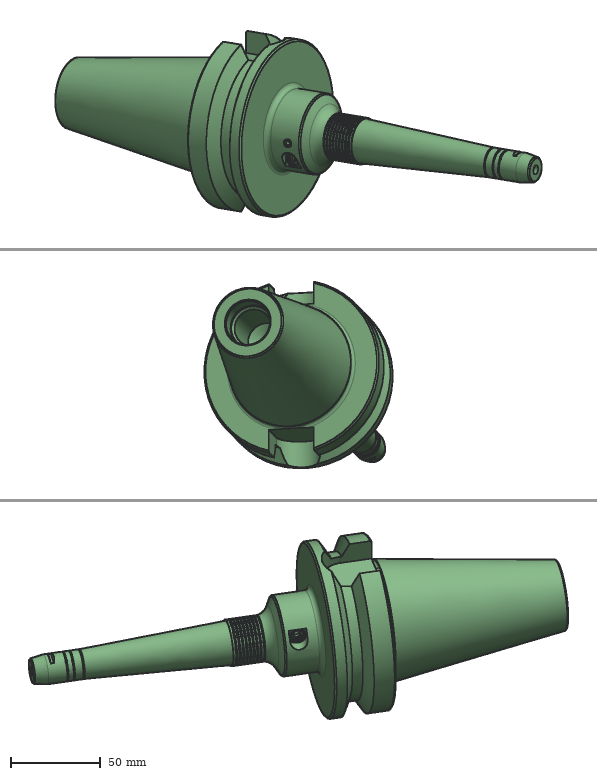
import cadquery as cq
import math

gauge_diameter = 69.85
taper_rate = 7 / 24
shank_length = 101.8
nose_x = 200.0
shank_end_chamfer = 0.8
gauge_radius = gauge_diameter / 2
shank_end_radius = (gauge_diameter - taper_rate * shank_length) / 2

flange_radius = 50.0
flange_back_x = 3.0
flange_front_x = 38.0
flange_chamfer = 1.0
groove_floor_radius = 42.0
groove_floor_back_x = 20.3
groove_floor_front_x = 26.3
groove_slope = math.tan(math.radians(30))
groove_run = (flange_radius - groove_floor_radius) * groove_slope
relief_radius = 34.7
relief_fillet = 1.8

slot_width = 25.7
slot_floor_height = 35.4
slot_end_x = 34.2

hub_radius = 23.0
hub_fillet = 3.0
hub_shoulder_x = 59.4
hub_chamfer_length = 0.9
hub_chamfer_depth = 0.7
flare_start_x = 63.0
flare_start_radius = 17.5
flare_end_x = 69.2

neck_radius = 13.2
neck_end_x = 87.6
stem_start_radius = 12.6
tip_radius = 8.5
tip_start_x = 171.0
tip_end_x = 192.0
nose_radius = 7.3
nose_chamfer = 0.8
ring_groove_radius = 0.35
first_neck_ring_x = 69.78
neck_ring_pitch = 2.0
neck_ring_count = 9
tip_ring_positions = [171.7, 177.2, 180.9]

tip_pocket_back_x = 187.9
tip_pocket_front_x = 189.7
tip_pocket_floor_height = 7.2
tip_pocket_width = 8.2
tip_pocket_slope_run = 0.9

coolant_diameter = 5.0
pilot_diameter = 25.0
pilot_chamfer = 0.7
pilot_depth = 11.0
thread_mouth_diameter = 24.0
thread_diameter = 21.0
thread_depth = 45.0
drill_point_angle = 118.0

screw_x = 51.8
screw_height = 11.8
screw_pocket_width = 10.0
screw_pocket_floor = 16.0
screw_hole_diameter = 9.0
screw_recess_diameter = 6.8
screw_socket_diameter = 4.1
screw_hole_depth = 1.0
screw_recess_depth = 2.0
screw_socket_depth = 4.0
pin_x = 52.0
pin_hole_height = -1.0
pin_mouth_diameter = 4.62
pin_mouth_depth = 0.6
pin_hole_diameter = 2.31
pin_hole_depth = 4.0


def make_body():
    """Revolve the whole outer profile about the X axis."""
    shank_end_x = -shank_length
    chamfer_x = shank_end_x + shank_end_chamfer
    profile = (
        cq.Workplane("XY")
        .moveTo(shank_end_x, 0)
        .lineTo(shank_end_x, shank_end_radius - shank_end_chamfer)
        .lineTo(chamfer_x, shank_end_radius + shank_end_chamfer * taper_rate / 2)
        .lineTo(0, gauge_radius)
        .lineTo(gauge_radius - relief_radius, relief_radius)
        .lineTo(flange_back_x - relief_fillet, relief_radius)
        .radiusArc((flange_back_x, relief_radius + relief_fillet), -relief_fillet)
        .lineTo(flange_back_x, flange_radius - flange_chamfer)
        .lineTo(flange_back_x + flange_chamfer, flange_radius)
        .lineTo(groove_floor_back_x - groove_run, flange_radius)
        .lineTo(groove_floor_back_x, groove_floor_radius)
        .lineTo(groove_floor_front_x, groove_floor_radius)
        .lineTo(groove_floor_front_x + groove_run, flange_radius)
        .lineTo(flange_front_x - flange_chamfer, flange_radius)
        .lineTo(flange_front_x, flange_radius - flange_chamfer)
        .lineTo(flange_front_x, hub_radius + hub_fillet)
        .radiusArc((flange_front_x + hub_fillet, hub_radius), -hub_fillet)
        .lineTo(hub_shoulder_x, hub_radius)
        .lineTo(hub_shoulder_x + hub_chamfer_length, hub_radius - hub_chamfer_depth)
        .lineTo(flare_start_x, flare_start_radius)
        .tangentArcPoint((flare_end_x, neck_radius), relative=False)
        .lineTo(neck_end_x, neck_radius)
        .lineTo(neck_end_x, stem_start_radius)
        .lineTo(tip_start_x, tip_radius)
        .lineTo(tip_end_x, tip_radius)
        .lineTo(nose_x - nose_chamfer, nose_radius)
        .lineTo(nose_x, nose_radius - nose_chamfer)
        .lineTo(nose_x, 0)
        .close()
    )
    return profile.revolve(360, (0, 0, 0), (1, 0, 0))


def ring_groove(x, radius):
    """Half-round groove running round the outside at the given place."""
    return (
        cq.Workplane("XY")
        .center(x, radius)
        .circle(ring_groove_radius)
        .revolve(360, (0, -radius, 0), (1, -radius, 0))
    )


def turned_half(body):
    """The same body turned half a turn about the X axis."""
    return body.rotate((0, 0, 0), (1, 0, 0), 180)


def drive_slot():
    """Round-ended slot across the flange rim, open towards the shank."""
    slot_radius = slot_width / 2
    arc_x = slot_end_x - slot_radius
    return (
        cq.Workplane("XY", origin=(0, 0, slot_floor_height))
        .moveTo(0, -slot_radius)
        .lineTo(arc_x, -slot_radius)
        .threePointArc((slot_end_x, 0), (arc_x, slot_radius))
        .lineTo(0, slot_radius)
        .close()
        .extrude(flange_radius)
    )


def tip_pocket():
    """Shallow flat-floored pocket across the tip with a sloped back wall."""
    return (
        cq.Workplane("XZ")
        .moveTo(tip_pocket_back_x, tip_pocket_floor_height)
        .lineTo(tip_pocket_front_x, tip_pocket_floor_height)
        .lineTo(tip_pocket_front_x, tip_radius)
        .lineTo(tip_pocket_back_x - tip_pocket_slope_run, tip_radius)
        .close()
        .extrude(tip_pocket_width / 2, both=True)
    )


def axial_bores():
    """Stepped drawbar bore with a drill-point end, and the coolant hole through the part."""
    back_x = -shank_length
    pilot_radius = pilot_diameter / 2
    mouth_radius = thread_mouth_diameter / 2
    thread_radius = thread_diameter / 2
    coolant_radius = coolant_diameter / 2
    thread_end_x = back_x + thread_depth
    point_run = (thread_radius - coolant_radius) / math.tan(math.radians(drill_point_angle / 2))
    return (
        cq.Workplane("XY")
        .moveTo(back_x, 0)
        .lineTo(back_x, pilot_radius + pilot_chamfer)
        .lineTo(back_x + pilot_chamfer, pilot_radius)
        .lineTo(back_x + pilot_depth, pilot_radius)
        .lineTo(back_x + pilot_depth, mouth_radius)
        .lineTo(back_x + pilot_depth + mouth_radius - thread_radius, thread_radius)
        .lineTo(thread_end_x, thread_radius)
        .lineTo(thread_end_x + point_run, coolant_radius)
        .lineTo(nose_x, coolant_radius)
        .lineTo(nose_x, 0)
        .close()
        .revolve(360, (0, 0, 0), (1, 0, 0))
    )


def screw_pocket():
    """U-shaped pocket on the -Y side, open towards -Z, with a stepped screw recess in its floor."""
    pocket_radius = screw_pocket_width / 2
    floor = cq.Workplane("XZ", origin=(screw_x, -screw_pocket_floor, -screw_height))
    pocket = (
        floor.moveTo(-pocket_radius, 0)
        .threePointArc((0, pocket_radius), (pocket_radius, 0))
        .lineTo(pocket_radius, -hub_radius)
        .lineTo(-pocket_radius, -hub_radius)
        .close()
        .extrude(hub_radius - screw_pocket_floor)
    )
    recess = floor.circle(screw_hole_diameter / 2).extrude(-screw_hole_depth)
    recess = recess.union(floor.circle(screw_recess_diameter / 2).extrude(-screw_recess_depth))
    socket_radius = screw_socket_diameter / 2
    cone_height = socket_radius / math.tan(math.radians(drill_point_angle / 2))
    socket = floor.circle(socket_radius).extrude(-screw_socket_depth)
    cone = cq.Workplane(
        cq.Solid.makeCone(
            socket_radius,
            0,
            cone_height,
            cq.Vector(screw_x, screw_socket_depth - screw_pocket_floor, -screw_height),
            cq.Vector(0, 1, 0),
        )
    )
    return pocket.union(recess).union(socket).union(cone)


def pin_hole():
    """Stepped blind hole entering the hub from the -Y side."""
    entry = cq.Workplane("XZ", origin=(pin_x, -hub_radius, pin_hole_height))
    mouth = entry.circle(pin_mouth_diameter / 2).extrude(-pin_mouth_depth)
    return mouth.union(entry.circle(pin_hole_diameter / 2).extrude(-pin_hole_depth))


result = make_body().cut(axial_bores())

for ring_index in range(neck_ring_count):
    ring_x = first_neck_ring_x + ring_index * neck_ring_pitch
    result = result.cut(ring_groove(ring_x, neck_radius))
for ring_x in tip_ring_positions:
    result = result.cut(ring_groove(ring_x, tip_radius))

for cutter in (drive_slot(), tip_pocket(), screw_pocket()):
    result = result.cut(cutter).cut(turned_half(cutter))

result = result.cut(pin_hole())